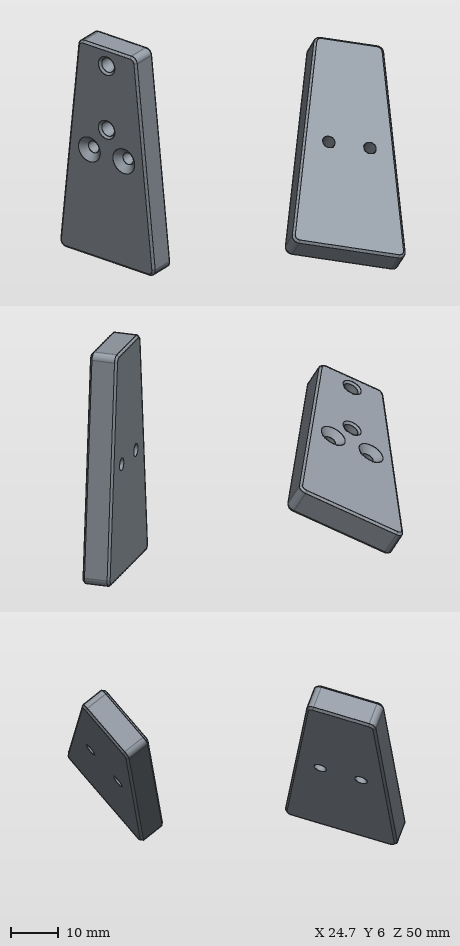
import cadquery as cq

height = 50.0
thickness = 6.0
bottom_width = 25.0
top_width = 15.0
corner_radius = 1.5
edge_chamfer = 0.5

blind_diameter = 3.3
blind_chamfer = 0.5
blind_depth = 5.0
blind_heights = (31.0, 46.0)

screw_diameter = 2.7
countersink_diameter = 5.7
countersink_angle = 90.0
screw_spacing = 9.0
screw_height = height / 2


def tapered_plate():
    """Trapezoid plate with rounded corners and chamfered front and back rims."""
    outline = [
        (-bottom_width / 2, 0),
        (bottom_width / 2, 0),
        (top_width / 2, height),
        (-top_width / 2, height),
    ]
    plate = cq.Workplane("XZ").polyline(outline).close().extrude(-thickness)
    plate = plate.edges("|Y").fillet(corner_radius)
    return plate.faces("<Y or >Y").edges().chamfer(edge_chamfer)


def blind_hole_cutter(z):
    """Flat-bottomed hole on the centre line with a 45 degree mouth chamfer."""
    radius = blind_diameter / 2
    profile = [
        (0, 0),
        (radius + blind_chamfer, 0),
        (radius, blind_chamfer),
        (radius, blind_depth),
        (0, blind_depth),
    ]
    cutter = cq.Workplane("XY").polyline(profile).close().revolve(360, (0, 0), (0, 1))
    return cutter.translate((0, 0, z))


def cut_screw_holes(plate):
    """Countersunk through holes, wide end on the front face."""
    centres = [(-screw_spacing / 2, screw_height), (screw_spacing / 2, screw_height)]
    front = cq.Workplane("XZ").add(plate.val())
    return front.pushPoints(centres).cskHole(screw_diameter, countersink_diameter, countersink_angle)


result = cut_screw_holes(tapered_plate())
for hole_height in blind_heights:
    result = result.cut(blind_hole_cutter(hole_height))